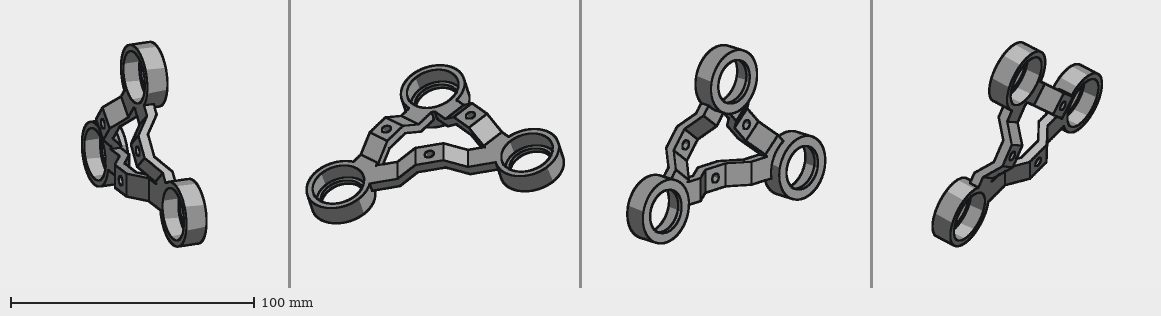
import cadquery as cq

ring_diameter = 27.0
bore_diameter = 21.8
lip_bore_diameter = 18.4
ring_depth = 9.1
lip_depth = 2.0
overall_width = 106.7
overall_height = 73.7

arm_width = 10.0
arm_depth = 4.4
crank_offset = 6.1
screw_hole_diameter = 3.8

half_spacing = (overall_width - ring_diameter) / 2
apex_height = overall_height - ring_diameter
ring_centers = [(-half_spacing, 0), (half_spacing, 0), (0, apex_height)]


def ring_cylinder(center, diameter, front, back):
    """Cylinder along Y about a ring axis, from Y = front to Y = back."""
    x, z = center
    return cq.Workplane("XZ", origin=(x, front, z)).circle(diameter / 2).extrude(front - back)


def cranked_arm(hole_center, angle, flat_length, ramp_lengths, end_lengths):
    """Arm with a forward-stepped middle flat, a screw hole, and ends inside two rings.

    Lengths are (start, end) pairs along the arm, measured outward from the middle flat.
    """
    start_top = -flat_length / 2
    end_top = flat_length / 2
    start_foot = start_top - ramp_lengths[0]
    end_foot = end_top + ramp_lengths[1]
    front_edge = [
        (start_foot - end_lengths[0], 0),
        (start_foot, 0),
        (start_top, -crank_offset),
        (end_top, -crank_offset),
        (end_foot, 0),
        (end_foot + end_lengths[1], 0),
    ]
    back_edge = [(along, y + arm_depth) for along, y in reversed(front_edge)]
    arm = (
        cq.Workplane("XY")
        .polyline(front_edge + back_edge)
        .close()
        .extrude(arm_width / 2, both=True)
    )
    hole = (
        cq.Workplane("XZ", origin=(0, arm_depth, 0))
        .circle(screw_hole_diameter / 2)
        .extrude(crank_offset + 2 * arm_depth)
    )
    x, z = hole_center
    return arm.cut(hole).rotate((0, 0, 0), (0, 1, 0), -angle).translate((x, 0, z))


base_arm = cranked_arm(
    hole_center=(0, 2.5), angle=0, flat_length=11.8, ramp_lengths=(9.0, 9.0), end_lengths=(13.9, 13.9)
)
left_arm = cranked_arm(
    hole_center=(-18.1, 21.3), angle=47.6, flat_length=9.8, ramp_lengths=(7.8, 7.7), end_lengths=(9.6, 9.6)
)
right_arm = cranked_arm(
    hole_center=(17.4, 21.0), angle=-50.5, flat_length=10.0, ramp_lengths=(7.8, 7.6), end_lengths=(9.6, 9.6)
)

result = base_arm.union(left_arm).union(right_arm)
for center in ring_centers:
    result = result.union(ring_cylinder(center, ring_diameter, 0, ring_depth))
for center in ring_centers:
    result = result.cut(ring_cylinder(center, bore_diameter, 0, ring_depth - lip_depth))
    result = result.cut(ring_cylinder(center, lip_bore_diameter, 0, ring_depth))